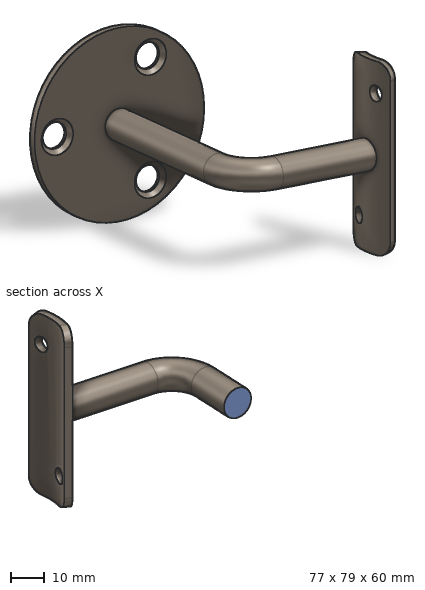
import cadquery as cq
import math

flange_diameter = 60.0
flange_thickness = 2.5
flange_hole_diameter = 8.2
flange_hole_land = 1.0
countersink_angle = 90
countersink_depth = flange_thickness - flange_hole_land
countersink_diameter = (
    flange_hole_diameter
    + 2 * countersink_depth * math.tan(math.radians(countersink_angle / 2))
)
flange_hole_circle_radius = 21.95
flange_hole_count = 3

rod_diameter = 10.0
bend_radius = 12.0

saddle_width = 20.0
saddle_height = flange_diameter
saddle_thickness = 2.5
saddle_outer_radius = 24.5
saddle_corner_radius = 5.0
saddle_hole_diameter = 5.0
saddle_hole_offset_x = 4.5
saddle_hole_offset_z = 20.0

reach_x = 77.0
reach_y = 79 - flange_diameter / 2

saddle_inner_radius = saddle_outer_radius - saddle_thickness
saddle_half_angle = math.asin(saddle_width / 2 / saddle_outer_radius)
saddle_x = reach_x - saddle_width / 2
saddle_axis_y = reach_y + saddle_inner_radius * math.cos(saddle_half_angle)
saddle_mid_y = saddle_axis_y - (saddle_inner_radius + saddle_outer_radius) / 2


def make_flange():
    return (
        cq.Workplane("YZ")
        .circle(flange_diameter / 2)
        .extrude(flange_thickness)
        .faces(">X")
        .workplane(origin=(0, 0, 0))
        .polarArray(flange_hole_circle_radius, 180, 360, flange_hole_count)
        .cskHole(flange_hole_diameter, countersink_diameter, countersink_angle)
    )


def make_rod():
    path = (
        cq.Workplane("XY")
        .moveTo(flange_thickness / 2, 0)
        .lineTo(saddle_x - bend_radius, 0)
        .tangentArcPoint((bend_radius, bend_radius))
        .lineTo(saddle_x, saddle_mid_y)
    )
    return (
        cq.Workplane("YZ", origin=(flange_thickness / 2, 0, 0))
        .circle(rod_diameter / 2)
        .sweep(path)
    )


def saddle_point(radius, angle):
    return (
        saddle_x + radius * math.sin(angle),
        saddle_axis_y - radius * math.cos(angle),
    )


def make_saddle():
    shell = (
        cq.Workplane("XY", origin=(0, 0, -saddle_height / 2))
        .moveTo(*saddle_point(saddle_outer_radius, -saddle_half_angle))
        .threePointArc(
            saddle_point(saddle_outer_radius, 0),
            saddle_point(saddle_outer_radius, saddle_half_angle),
        )
        .lineTo(*saddle_point(saddle_inner_radius, saddle_half_angle))
        .threePointArc(
            saddle_point(saddle_inner_radius, 0),
            saddle_point(saddle_inner_radius, -saddle_half_angle),
        )
        .close()
        .extrude(saddle_height)
        .faces("|Z")
        .edges("%LINE")
        .fillet(saddle_corner_radius)
    )
    holes = (
        cq.Workplane("XZ", origin=(saddle_x, saddle_axis_y, 0))
        .pushPoints([
            (saddle_hole_offset_x, saddle_hole_offset_z),
            (-saddle_hole_offset_x, -saddle_hole_offset_z),
        ])
        .circle(saddle_hole_diameter / 2)
        .extrude(saddle_outer_radius)
    )
    return shell.cut(holes)


result = make_flange().union(make_rod()).union(make_saddle())